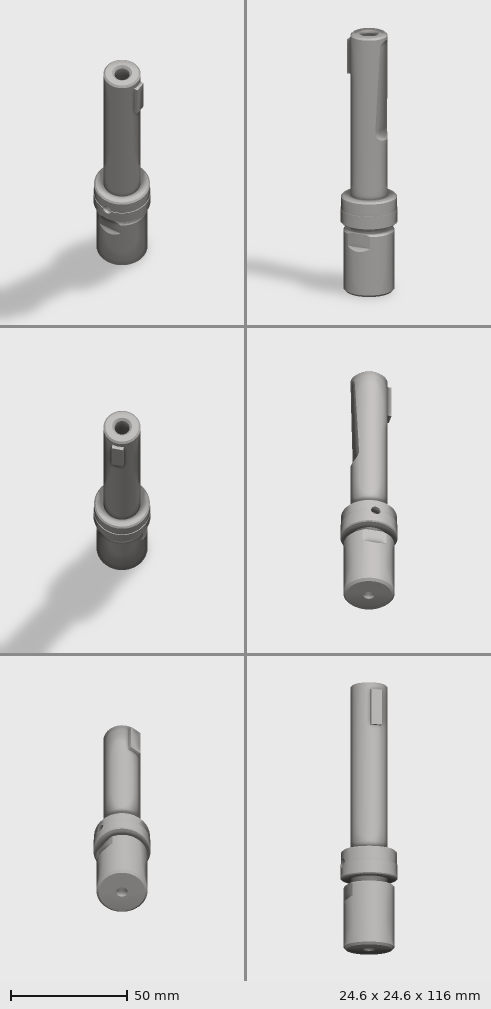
import cadquery as cq
import math

TOTAL_HEIGHT = 116.0
SHANK_DIAMETER = 16.0
SHANK_CHAMFER = 0.8
HEAD_DIAMETER = 22.0
HEAD_TOP_Z = 28.1
HEAD_TOP_CHAMFER = 0.7
HEAD_BOTTOM_CHAMFER = 1.0

GROOVE_DIAMETER = 15.5
GROOVE_FLOOR_BOTTOM_Z = 28.8
GROOVE_FLOOR_TOP_Z = 29.5
GROOVE_TOP_Z = 30.6

THROUGH_BORE_DIAMETER = 4.9
UPPER_BORE_DIAMETER = 6.5
UPPER_BORE_DEPTH = 23.2
BORE_MOUTH_DIAMETER = 8.6

WRENCH_WIDTH = 19.3
WRENCH_FLAT_BOTTOM_Z = 22.0
WRENCH_SLOPE_ANGLE = 40.0

FLAT_TOP_Z = 111.4
FLAT_TOP_X = -7.2
FLAT_BOTTOM_Z = 73.3
FLAT_BOTTOM_X = -5.8
FLAT_END_RADIUS = 5.0

KEY_WIDTH = 5.0
KEY_BOTTOM_Z = 97.2
KEY_TOP_Z = 112.6
KEY_PROJECTION = 1.4
KEY_SEAT_DEPTH = 2.0

NUT_LOWER_DIAMETER = 24.6
NUT_UPPER_DIAMETER = 24.0
NUT_BOTTOM_Z = 30.9
NUT_STEP_Z = 37.0
NUT_TOP_Z = 43.2
NUT_TOP_CHAMFER = 0.7
NUT_BOTTOM_CHAMFER = 0.5
SPANNER_HOLE_DIAMETER = 4.2

SHANK_RADIUS = SHANK_DIAMETER / 2
HEAD_RADIUS = HEAD_DIAMETER / 2


def turned(outline):
    """Revolve an outline of (radius, z) points about the Z axis."""
    return cq.Workplane("XZ").polyline(outline).close().revolve(360, (0, 0), (0, 1))


def make_holder_blank():
    groove_radius = GROOVE_DIAMETER / 2
    return turned([
        (0, 0),
        (HEAD_RADIUS - HEAD_BOTTOM_CHAMFER, 0),
        (HEAD_RADIUS, HEAD_BOTTOM_CHAMFER),
        (HEAD_RADIUS, HEAD_TOP_Z - HEAD_TOP_CHAMFER),
        (HEAD_RADIUS - HEAD_TOP_CHAMFER, HEAD_TOP_Z),
        (SHANK_RADIUS, HEAD_TOP_Z),
        (groove_radius, GROOVE_FLOOR_BOTTOM_Z),
        (groove_radius, GROOVE_FLOOR_TOP_Z),
        (SHANK_RADIUS, GROOVE_TOP_Z),
        (SHANK_RADIUS, TOTAL_HEIGHT - SHANK_CHAMFER),
        (SHANK_RADIUS - SHANK_CHAMFER, TOTAL_HEIGHT),
        (0, TOTAL_HEIGHT),
    ])


def make_bore():
    """Through bore with a wider upper part and a 45 degree countersunk mouth."""
    through_radius = THROUGH_BORE_DIAMETER / 2
    upper_radius = UPPER_BORE_DIAMETER / 2
    mouth_radius = BORE_MOUTH_DIAMETER / 2
    shoulder_z = TOTAL_HEIGHT - UPPER_BORE_DEPTH
    mouth_depth = mouth_radius - upper_radius
    return turned([
        (0, 0),
        (through_radius, 0),
        (through_radius, shoulder_z),
        (upper_radius, shoulder_z),
        (upper_radius, TOTAL_HEIGHT - mouth_depth),
        (mouth_radius, TOTAL_HEIGHT),
        (0, TOTAL_HEIGHT),
    ])


def make_wrench_cut():
    """Material removed at the -Y wrench flat, ending below in a slope."""
    flat_y = -WRENCH_WIDTH / 2
    outer_y = -HEAD_RADIUS
    slope_drop = (flat_y - outer_y) / math.tan(math.radians(WRENCH_SLOPE_ANGLE))
    return (
        cq.Workplane("YZ")
        .polyline([
            (flat_y, HEAD_TOP_Z),
            (flat_y, WRENCH_FLAT_BOTTOM_Z),
            (outer_y, WRENCH_FLAT_BOTTOM_Z - slope_drop),
            (outer_y, HEAD_TOP_Z),
        ])
        .close()
        .extrude(HEAD_RADIUS, both=True)
    )


def make_clamping_cut():
    """Slot-shaped cut whose inner side is the inclined flat."""
    run_x = FLAT_TOP_X - FLAT_BOTTOM_X
    run_z = FLAT_TOP_Z - FLAT_BOTTOM_Z
    flat_length = math.hypot(run_x, run_z)
    center_x = (FLAT_TOP_X + FLAT_BOTTOM_X) / 2 - FLAT_END_RADIUS * run_z / flat_length
    center_z = (FLAT_TOP_Z + FLAT_BOTTOM_Z) / 2 + FLAT_END_RADIUS * run_x / flat_length
    incline = math.degrees(math.atan2(run_z, run_x))
    slot_width = 2 * FLAT_END_RADIUS
    return (
        cq.Workplane("XZ")
        .center(center_x, center_z)
        .slot2D(flat_length + slot_width, slot_width, incline)
        .extrude(SHANK_RADIUS, both=True)
    )


def make_key():
    seat_x = SHANK_RADIUS - KEY_SEAT_DEPTH
    return (
        cq.Workplane("XY")
        .box(
            KEY_SEAT_DEPTH + KEY_PROJECTION,
            KEY_WIDTH,
            KEY_TOP_Z - KEY_BOTTOM_Z,
            centered=(False, True, False),
        )
        .translate((seat_x, 0, KEY_BOTTOM_Z))
    )


def make_holder(key):
    holder = make_holder_blank().cut(make_bore())
    for turn in (0, 180):
        wrench_cut = make_wrench_cut().rotate((0, 0, 0), (0, 0, 1), turn)
        holder = holder.cut(wrench_cut)
    return holder.cut(make_clamping_cut()).cut(key)


def make_nut():
    """Stepped ring fitting the shank, with one radial spanner hole on the -Y side."""
    lower_radius = NUT_LOWER_DIAMETER / 2
    upper_radius = NUT_UPPER_DIAMETER / 2
    ring = turned([
        (SHANK_RADIUS, NUT_BOTTOM_Z),
        (lower_radius - NUT_BOTTOM_CHAMFER, NUT_BOTTOM_Z),
        (lower_radius, NUT_BOTTOM_Z + NUT_BOTTOM_CHAMFER),
        (lower_radius, NUT_STEP_Z),
        (upper_radius, NUT_STEP_Z),
        (upper_radius, NUT_TOP_Z - NUT_TOP_CHAMFER),
        (upper_radius - NUT_TOP_CHAMFER, NUT_TOP_Z),
        (SHANK_RADIUS, NUT_TOP_Z),
    ])
    spanner_hole = (
        cq.Workplane("XZ")
        .center(0, NUT_STEP_Z)
        .circle(SPANNER_HOLE_DIAMETER / 2)
        .extrude(lower_radius)
    )
    return ring.cut(spanner_hole)


key = make_key()
holder = make_holder(key)
nut = make_nut()

result = cq.Compound.makeCompound([holder.val(), nut.val(), key.val()])